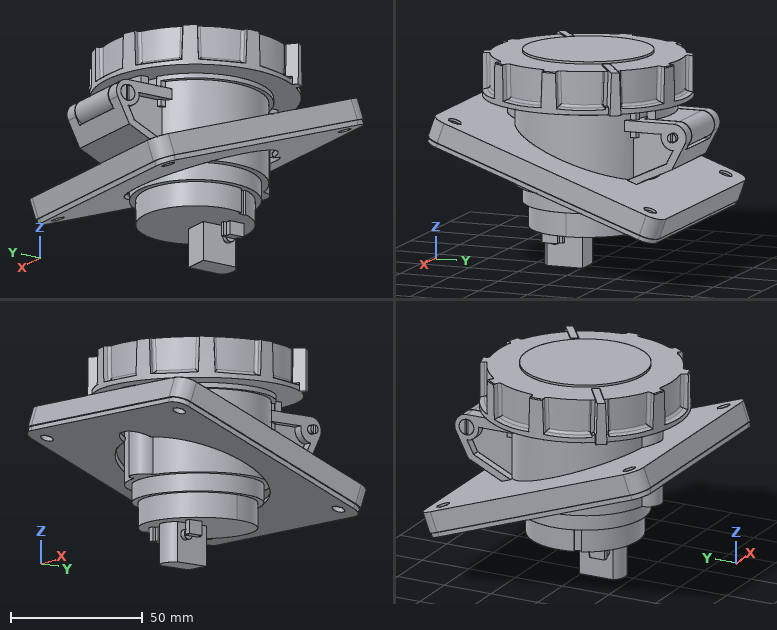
import cadquery as cq
import math


barrel_radius = 27.9
barrel_bottom = 32.15
barrel_top = 66.3
middle_ring_radius = 50.2 / 2
middle_ring_bottom = 25.3
lower_ring_radius = 22.7
lower_ring_bottom = 15.5
notch_angle = 200.5
notch_width = 2.7
notch_depth = 1.2

collar_radius = 29.7
collar_height = 1.9
collar_bottom = barrel_top - collar_height
collar_gap_half_width = 13.6
collar_leg_width = 1.6
collar_leg_bottom = 54.3
key_rib_radius = 11.3 / 2
key_rib_y = -27.0
key_tab_front = -33.7
key_tab_right = 2.1

post_half_width = 5.2
post_rear = -0.2
post_shoulder = -14.7
post_front = -17.2
contact_bottom = 10.1
contact_inner = 8.0
contact_step = 9.5
contact_outer = 11.7
contact_front = -14.4
contact_rear = -8.0
contact_shift = 1.4
cross_pin_diameter = 4.0
cross_pin_length = 14.6
cross_pin_y = -11.1
cross_pin_z = 10.9

tilt = math.radians(19.6)
plate_normal = cq.Vector(0, math.sin(tilt), math.cos(tilt))
plate_width = 92.0
plate_length = 99.85
plate_thickness = 8.45
plate_corner_radius = 6.0
plate_skin = 1.0
plate_wall = 1.9
plate_top_center = (0, 0.9, 45.9)
mount_hole_diameter = 5.0
mount_spacing_x = 76.7
mount_spacing_y = 84.8
gasket_thickness = 1.9
gasket_inset = 0.5
gasket_opening_radius = 30.4
gasket_bump_radius = 7.6
gasket_bump_offset = 28.75

hinge_y = 41.9
hinge_z = 56.0
knuckle_radius = 5.1
hinge_half_width = 17.3
hinge_web_half_width = 13.9
hinge_slot_half_width = 11.8
hinge_clearance = 0.3
hinge_arm_thickness = 4.3
hinge_elbow = (41.2, 43.5)
hinge_recess_elbow = (38.9, 45.6)
hinge_foot = (19.4, 33.3)
pin_diameter = 3.5
pin_head_diameter = 6.3
pin_head_length = 2.9
pin_overhang = 1.9
pin_head_slot = 1.2
pin_end_slot = 0.9
pin_slot_depth = 1.2

cover_radius = 40.2
cover_bottom = barrel_top
cover_rim = 82.6
dome_radius = 50.0 / 2
dome_foot = 83.1
dome_shoulder = 84.0
dome_top = 86.35
pocket_count = 10
pocket_bottom = 68.2
pocket_inner_radius = 37.4
pocket_half_width_top = 10.3
pocket_half_width_bottom = 9.6
pocket_wall_slope = 15
pocket_corner_radius = 1.2
rim_chamfer = 0.4
fin_root_half_width = 3.5
pocket_reach = 4.9
fin_angle = 36
fin_inner_radius = 27.7
fin_outer_radius = 42.5
fin_inner_top = 83.5
fin_outer_top = 82.95
fin_width_top = 3.1
fin_width_bottom = 4.3
tab_outer_radius = 34.1
tab_inner_y = 28.7
knuckle_half_width = hinge_slot_half_width - hinge_clearance

OVERLAP = 1.0


def cylinder(radius, bottom, top):
    return cq.Workplane("XY", origin=(0, 0, bottom)).circle(radius).extrude(top - bottom)


def block(x_range, y_range, z_range):
    low, high = zip(x_range, y_range, z_range)
    size = [b - a for a, b in zip(low, high)]
    return cq.Workplane("XY").box(*size, centered=False).translate(low)


def x_cylinder(diameter, x_start, x_end, y, z):
    plane = cq.Workplane("YZ", origin=(x_start, y, z))
    return plane.circle(diameter / 2).extrude(x_end - x_start)


def plate_plane(depth=0.0):
    """Workplane parallel to the tilted plate, `depth` below its top face, local Y to the rear."""
    origin = cq.Vector(*plate_top_center) - plate_normal * depth
    return cq.Workplane(cq.Plane(origin=origin, xDir=(1, 0, 0), normal=plate_normal))


def rounded_slab(depth, thickness, inset):
    """Slab with round corners, hanging from `depth` below the plate top."""
    return (
        plate_plane(depth)
        .rect(plate_width - 2 * inset, plate_length - 2 * inset)
        .extrude(-thickness)
        .edges(cq.selectors.ParallelDirSelector(plate_normal))
        .fillet(plate_corner_radius - inset)
    )


def mount_holes():
    return (
        plate_plane()
        .rect(mount_spacing_x, mount_spacing_y, forConstruction=True)
        .vertices()
        .circle(mount_hole_diameter / 2)
        .extrude(-plate_thickness - gasket_thickness)
    )


def mounting_plate():
    tray_hollow = rounded_slab(plate_skin, plate_thickness - plate_skin, plate_wall)
    return rounded_slab(0, plate_thickness, 0).cut(tray_hollow).cut(mount_holes())


def barrel_section(bottom=barrel_bottom, top=barrel_top):
    """Barrel with its key rib."""
    rib = cylinder(key_rib_radius, bottom, top).translate((0, key_rib_y, 0))
    return cylinder(barrel_radius, bottom, top).union(rib)


def lower_rings():
    middle = cylinder(middle_ring_radius, middle_ring_bottom, barrel_bottom)
    lower = cylinder(lower_ring_radius, lower_ring_bottom, middle_ring_bottom)
    notch = block(
        (lower_ring_radius - notch_depth, lower_ring_radius + OVERLAP),
        (-notch_width / 2, notch_width / 2),
        (lower_ring_bottom, middle_ring_bottom),
    ).rotate((0, 0, 0), (0, 0, 1), notch_angle)
    return middle.union(lower.cut(notch))


def collar():
    leg_outer = collar_gap_half_width + collar_leg_width
    ring = cylinder(collar_radius, collar_bottom, barrel_top)
    ring = ring.cut(
        block(
            (-collar_gap_half_width, collar_gap_half_width),
            (0, collar_radius + OVERLAP),
            (collar_bottom, barrel_top),
        )
    )
    legs = cylinder(collar_radius, collar_leg_bottom, barrel_top)
    leg_slabs = block(
        (-leg_outer, leg_outer), (0, collar_radius), (collar_leg_bottom, barrel_top)
    ).cut(
        block(
            (-collar_gap_half_width, collar_gap_half_width),
            (0, collar_radius),
            (collar_leg_bottom, barrel_top),
        )
    )
    key_tab = block((-key_rib_radius, key_tab_right), (key_tab_front, key_rib_y), (collar_bottom, barrel_top))
    return ring.union(legs.intersect(leg_slabs)).union(key_tab)


def post():
    return (
        cq.Workplane("XY")
        .moveTo(-post_half_width, post_rear)
        .lineTo(-post_half_width, post_shoulder)
        .threePointArc((0, post_front), (post_half_width, post_shoulder))
        .lineTo(post_half_width, post_rear)
        .close()
        .extrude(lower_ring_bottom)
    )


def contacts():
    """Pair of stepped contacts mirrored about the middle plane, and the cross pin in the post."""
    z_range = (contact_bottom, lower_ring_bottom)
    outer = block((contact_step, contact_outer), (contact_front, contact_rear), z_range)
    inner = block(
        (contact_inner, contact_step),
        (contact_front + contact_shift, contact_rear + contact_shift),
        z_range,
    )
    right = inner.union(outer)
    half_length = cross_pin_length / 2
    cross_pin = x_cylinder(cross_pin_diameter, -half_length, half_length, cross_pin_y, cross_pin_z)
    return right.union(right.mirror("YZ")).union(cross_pin)


def bracket_point(distance, angle):
    """Point at a distance and angle (degrees) from the hinge axis, as Y and Z."""
    a = math.radians(angle)
    return (hinge_y + distance * math.cos(a), hinge_z + distance * math.sin(a))


def tangent_angle():
    """Direction from the hinge axis to where the line from the elbow touches the knuckle."""
    dy = hinge_elbow[0] - hinge_y
    dz = hinge_elbow[1] - hinge_z
    return math.degrees(math.atan2(dz, dy) + math.acos(knuckle_radius / math.hypot(dy, dz)))


def bracket_outline(half_width):
    """Bracket side shape, from the flat top round the knuckle and the elbow to the foot."""
    touch = tangent_angle()
    return (
        cq.Workplane("YZ", origin=(-half_width, 0, 0))
        .moveTo(hinge_foot[0], hinge_z + knuckle_radius)
        .lineTo(hinge_y, hinge_z + knuckle_radius)
        .threePointArc(bracket_point(knuckle_radius, (90 + touch) / 2), bracket_point(knuckle_radius, touch))
        .lineTo(*hinge_elbow)
        .lineTo(*hinge_foot)
        .close()
        .extrude(2 * half_width)
    )


def hinge_bracket():
    bracket = bracket_outline(hinge_half_width)

    shift_y = hinge_recess_elbow[0] - hinge_elbow[0]
    shift_z = hinge_recess_elbow[1] - hinge_elbow[1]
    touch_y, touch_z = bracket_point(knuckle_radius, tangent_angle())
    arm_bottom = hinge_z + knuckle_radius - hinge_arm_thickness
    outline_points = [
        (0, arm_bottom),
        (hinge_y, arm_bottom),
        (touch_y + shift_y, touch_z + shift_z),
        hinge_recess_elbow,
        (hinge_foot[0] + shift_y, hinge_foot[1] + shift_z),
        (0, hinge_foot[1]),
    ]
    knuckle = x_cylinder(2 * knuckle_radius, -hinge_half_width, hinge_half_width, hinge_y, hinge_z)
    recess = (
        cq.Workplane("YZ", origin=(-hinge_half_width, 0, 0))
        .polyline(outline_points)
        .close()
        .extrude(2 * hinge_half_width)
        .cut(knuckle)
        .cut(
            block(
                (-hinge_web_half_width, hinge_web_half_width),
                (0, hinge_y + knuckle_radius),
                (0, hinge_z + knuckle_radius),
            )
        )
    )

    slot_half = hinge_slot_half_width
    slot = block(
        (-slot_half, slot_half),
        (barrel_radius, hinge_y + knuckle_radius + OVERLAP),
        (hinge_z - knuckle_radius - hinge_clearance, hinge_z + knuckle_radius + OVERLAP),
    )
    return bracket.cut(recess).cut(slot)


def make_pin():
    """Slotted round head at -X, flush with the bracket, and a split end standing out at +X."""
    end = hinge_half_width + pin_overhang
    shaft = x_cylinder(pin_diameter, -hinge_half_width, end, hinge_y, hinge_z)
    head_end = -hinge_half_width + pin_head_length
    head = x_cylinder(pin_head_diameter, -hinge_half_width, head_end, hinge_y, hinge_z)
    z_range = (hinge_z - knuckle_radius, hinge_z + knuckle_radius)
    head_slot = block(
        (-hinge_half_width, -hinge_half_width + pin_slot_depth),
        (hinge_y - pin_head_slot / 2, hinge_y + pin_head_slot / 2),
        z_range,
    )
    end_slot = block(
        (hinge_half_width, end), (hinge_y - pin_end_slot / 2, hinge_y + pin_end_slot / 2), z_range
    )
    return shaft.union(head).cut(head_slot).cut(end_slot)


def pin_bore():
    """Space taken by the pin, without its slots."""
    end = hinge_half_width + pin_overhang
    head_end = -hinge_half_width + pin_head_length
    bore = x_cylinder(pin_diameter, -hinge_half_width, end, hinge_y, hinge_z)
    return bore.union(x_cylinder(pin_head_diameter, -hinge_half_width, head_end, hinge_y, hinge_z))


def make_housing():
    return (
        barrel_section()
        .union(lower_rings())
        .union(mounting_plate())
        .union(collar())
        .union(post())
        .union(contacts())
        .union(hinge_bracket().cut(pin_bore()).cut(below_plate_top()))
    )


def below_plate_top():
    return plate_plane().rect(plate_width, plate_length).extrude(-plate_length)


def make_gasket():
    gasket = rounded_slab(plate_thickness, gasket_thickness, gasket_inset)
    opening = plate_plane(plate_thickness).circle(gasket_opening_radius).extrude(-gasket_thickness)
    bump = (
        plate_plane(plate_thickness)
        .center(0, -gasket_bump_offset)
        .circle(gasket_bump_radius)
        .extrude(-gasket_thickness)
    )
    gasket = gasket.cut(opening).cut(bump)
    return gasket.cut(mount_holes()).cut(barrel_section()).cut(lower_rings())


def cover_shell():
    """Round cover with a slightly conical top and a dome standing in its middle."""
    rise = dome_top - dome_shoulder
    sphere_radius = (dome_radius**2 + rise**2) / (2 * rise)
    mid_radius = dome_radius / 2
    mid_height = dome_top - sphere_radius + math.sqrt(sphere_radius**2 - mid_radius**2)
    return (
        cq.Workplane("XZ")
        .moveTo(0, cover_bottom)
        .lineTo(cover_radius, cover_bottom)
        .lineTo(cover_radius, cover_rim - rim_chamfer)
        .lineTo(cover_radius - rim_chamfer, cover_rim)
        .lineTo(dome_radius, dome_foot)
        .lineTo(dome_radius, dome_shoulder)
        .threePointArc((mid_radius, mid_height), (0, dome_top))
        .close()
        .revolve(360, (0, 0, 0), (0, 1, 0))
    )


def grip_pocket():
    """Cutter for the pocket at +X: sloped side walls and ledge, open at the top."""
    above = cover_rim + pocket_reach
    cutter = (
        cq.Workplane(cq.Plane(origin=(cover_radius, 0, 0), xDir=(0, -1, 0), normal=(-1, 0, 0)))
        .polyline(
            [
                (-pocket_half_width_bottom, pocket_bottom),
                (pocket_half_width_bottom, pocket_bottom),
                (pocket_half_width_top, above),
                (-pocket_half_width_top, above),
            ]
        )
        .close()
        .extrude(pocket_reach, taper=pocket_wall_slope)
    )
    cutter = cutter.cut(cylinder(pocket_inner_radius, cover_bottom, above))
    nearest_axis = (pocket_inner_radius, 0, (cover_bottom + above) / 2)
    return cutter.faces(cq.selectors.NearestToPointSelector(nearest_axis)).edges().fillet(pocket_corner_radius)


def fin_clearance():
    """Cutter at +X for the rib around a fin, so that the pockets reach the sides of the fin."""
    return block(
        (pocket_inner_radius, cover_radius + OVERLAP),
        (-fin_root_half_width, fin_root_half_width),
        (pocket_bottom + pocket_corner_radius, cover_rim + OVERLAP),
    )


def fin():
    """Radial fin at +X that narrows upward and follows the conical top."""
    side = (
        cq.Workplane("XZ")
        .polyline(
            [
                (fin_inner_radius, cover_bottom),
                (fin_outer_radius, cover_bottom),
                (fin_outer_radius, fin_outer_top),
                (fin_inner_radius, fin_inner_top),
            ]
        )
        .close()
        .extrude(fin_width_bottom, both=True)
    )
    section = (
        cq.Workplane("YZ")
        .polyline(
            [
                (-fin_width_bottom / 2, cover_bottom),
                (fin_width_bottom / 2, cover_bottom),
                (fin_width_top / 2, fin_inner_top),
                (-fin_width_top / 2, fin_inner_top),
            ]
        )
        .close()
        .extrude(fin_outer_radius)
    )
    return side.intersect(section)


def cover_hinge():
    """Middle knuckle with an arm toward the cover and a curved tab rising to its underside."""
    half = knuckle_half_width
    arm_top = hinge_z + knuckle_radius
    arm_bottom = arm_top - hinge_arm_thickness
    knuckle = x_cylinder(2 * knuckle_radius, -half, half, hinge_y, hinge_z)
    arm = block((-half, half), (tab_inner_y, hinge_y), (arm_bottom, arm_top))
    tab = cylinder(tab_outer_radius, arm_bottom, cover_bottom).intersect(
        block((-half, half), (tab_inner_y, tab_outer_radius), (arm_bottom, cover_bottom))
    )
    return knuckle.union(arm).union(tab)


def make_cover():
    cover = cover_shell()
    pitch = 360 / pocket_count
    for i in range(pocket_count):
        angle = (i + 0.5) * pitch
        cover = cover.cut(grip_pocket().rotate((0, 0, 0), (0, 0, 1), angle))
    for angle in (fin_angle, fin_angle + 180):
        cover = cover.cut(fin_clearance().rotate((0, 0, 0), (0, 0, 1), angle))
        cover = cover.union(fin().rotate((0, 0, 0), (0, 0, 1), angle))
    return cover.union(cover_hinge()).cut(pin_bore())


housing = make_housing().solids()
gasket = make_gasket().solids()
cover = make_cover().solids()
hinge_pin = make_pin().solids()

result = cq.Compound.makeCompound([housing.val(), gasket.val(), cover.val(), hinge_pin.val()])